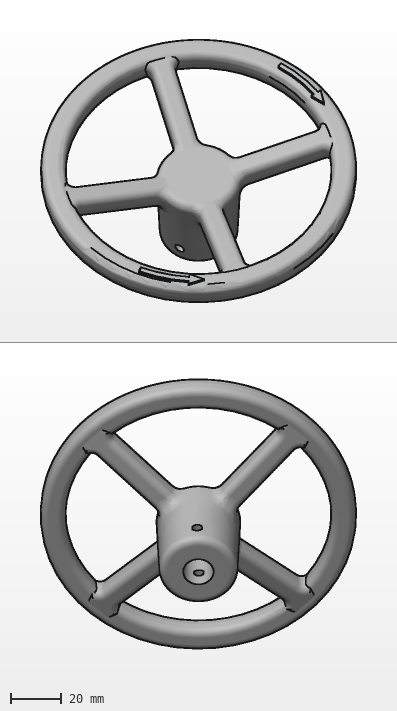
import cadquery as cq
import math

rim_bottom = 36.0
hub_height = 38.2
arrow_height = 1.0

rim_outer_radius = 62.5
bar_width = 10.0
bar_height = 10.0
bar_draft = 5.0
bar_rounding = 3.0

spoke_count = 4
spoke_slope = 10.0
spoke_start_radius = 7.5
rim_blend = 3.0
hub_blend = 5.0

hub_top_radius = 16.8
hub_draft = 2.0
hub_top_rounding = 3.2
hub_bottom_rounding = 3.0
bore_diameter = 12.0
bore_depth = 30.0
pin_diameter = 4.0
pin_height = 8.0
pin_angle = -45.0

arrow_shaft_width = 2.0
arrow_head_width = 4.8
arrow_shaft_sweep = 20.0
arrow_head_sweep = 6.0
close_arrow_tip = 104.0
open_arrow_tip = -14.0
arrow_root_depth = 1.2

rim_mid_radius = rim_outer_radius - bar_width / 2
rim_inner_radius = rim_outer_radius - bar_width
rim_mid_height = rim_bottom + bar_height / 2
rim_top = rim_bottom + bar_height


def make_rim():
    """Ring of bar section, widest at mid-height, with rounded top and bottom edges."""
    half_width = bar_width / 2
    half_height = bar_height / 2
    half_flat = half_width - half_height * math.tan(math.radians(bar_draft))
    section = [
        (half_width, 0),
        (half_flat, half_height),
        (-half_flat, half_height),
        (-half_width, 0),
        (-half_flat, -half_height),
        (half_flat, -half_height),
    ]
    ring = (
        cq.Workplane("XZ", origin=(rim_mid_radius, 0, rim_mid_height))
        .polyline(section)
        .close()
        .revolve(360, (-rim_mid_radius, 0), (-rim_mid_radius, 1))
    )
    return ring.faces("<Z or >Z").edges().fillet(bar_rounding)


def make_hub():
    """Solid tapered hub with rounded ends."""
    bottom_radius = hub_top_radius - hub_height * math.tan(math.radians(hub_draft))
    profile = [(0, 0), (-bottom_radius, 0), (-hub_top_radius, hub_height), (0, hub_height)]
    hub = cq.Workplane("XZ").polyline(profile).close().revolve(360, (0, 0), (0, 1))
    hub = hub.faces(">Z").edges().fillet(hub_top_rounding)
    return hub.faces("<Z").edges().fillet(hub_bottom_rounding)


def make_spoke():
    """Rounded spoke along +X, flared where it reaches the inside of the rim.

    It is built level about the middle of the rim section, then tilted.
    """
    half_width = bar_width / 2
    flare_half_width = half_width + rim_blend
    flare_start = rim_inner_radius - rim_blend
    outline = (
        cq.Workplane("XY")
        .moveTo(spoke_start_radius, 0)
        .lineTo(spoke_start_radius, half_width)
        .lineTo(flare_start, half_width)
        .tangentArcPoint((rim_inner_radius, flare_half_width), relative=False)
        .lineTo(rim_mid_radius, flare_half_width)
        .lineTo(rim_mid_radius, 0)
        .mirrorX()
    )
    upper = outline.extrude(bar_height / 2, taper=bar_draft)
    spoke = upper.union(upper.mirror("XY"))
    spoke = spoke.faces(">Z or <Z").edges("not |Y").fillet(bar_rounding)
    return spoke.translate((0, 0, rim_mid_height)).rotate(
        (rim_mid_radius, 0, rim_mid_height), (rim_mid_radius, 1, rim_mid_height), -spoke_slope
    )


def make_hub_and_spokes():
    """Hub with its spokes: one blended sector, repeated around the axis."""
    core = make_hub().union(make_spoke())
    joint_zone = cq.selectors.BoxSelector(
        (spoke_start_radius, -bar_width, hub_height - 2 * bar_height),
        (hub_top_radius, bar_width, rim_top),
    )
    core = core.edges(joint_zone).fillet(hub_blend)
    sector = core.intersect(
        cq.Workplane("XY")
        .rect(rim_outer_radius, rim_outer_radius, centered=False)
        .extrude(rim_top)
        .rotate((0, 0, 0), (0, 0, 1), -180 / spoke_count)
    )
    body = sector
    for index in range(1, spoke_count):
        body = body.union(sector.rotate((0, 0, 0), (0, 0, 1), index * 360 / spoke_count))
    return body


def make_arrow(tip_angle, direction):
    """Arrow following the rim; direction is +1 for anticlockwise and -1 for clockwise."""
    head_angle = tip_angle - direction * arrow_head_sweep
    tail_angle = head_angle - direction * arrow_shaft_sweep

    def rim_point(angle, offset):
        radius = rim_mid_radius + offset
        return radius * math.cos(math.radians(angle)), radius * math.sin(math.radians(angle))

    half_shaft = arrow_shaft_width / 2
    half_head = arrow_head_width / 2
    middle_angle = (head_angle + tail_angle) / 2
    return (
        cq.Workplane("XY", origin=(0, 0, rim_top - arrow_root_depth))
        .moveTo(*rim_point(tail_angle, half_shaft))
        .threePointArc(rim_point(middle_angle, half_shaft), rim_point(head_angle, half_shaft))
        .lineTo(*rim_point(head_angle, half_head))
        .lineTo(*rim_point(tip_angle, 0))
        .lineTo(*rim_point(head_angle, -half_head))
        .lineTo(*rim_point(head_angle, -half_shaft))
        .threePointArc(rim_point(middle_angle, -half_shaft), rim_point(tail_angle, -half_shaft))
        .close()
        .extrude(arrow_root_depth + arrow_height)
    )


def cut_shaft_holes(body):
    """Blind shaft bore from below and a pin hole across the whole hub."""
    bore = cq.Workplane("XY").circle(bore_diameter / 2).extrude(bore_depth)
    pin = (
        cq.Workplane("YZ", origin=(0, 0, pin_height))
        .circle(pin_diameter / 2)
        .extrude(hub_top_radius, both=True)
        .rotate((0, 0, 0), (0, 0, 1), pin_angle)
    )
    return body.cut(bore).cut(pin)


wheel = make_hub_and_spokes().union(make_rim())
wheel = wheel.union(make_arrow(close_arrow_tip, -1)).union(make_arrow(open_arrow_tip, 1))
result = cut_shaft_holes(wheel).solids()